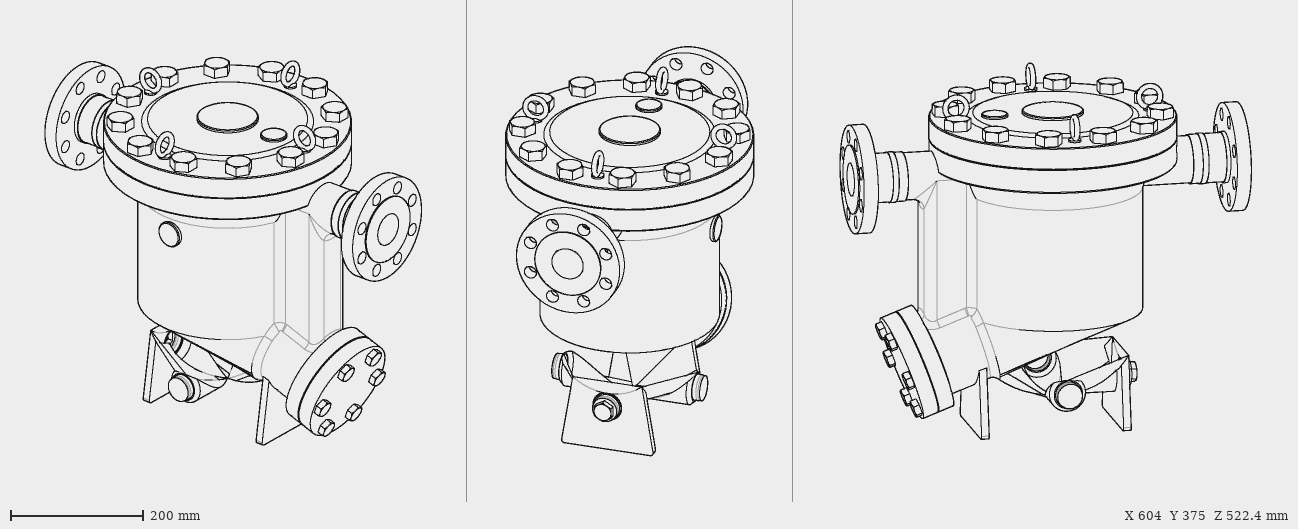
import cadquery as cq
import math

FOOT_Z = -400.0
DOME_CENTRE_Z = -219.5
NECK_BOTTOM_Z = -30.0
FLANGE_BOTTOM_Z = 10.0
JOINT_Z = 47.5
COVER_TOP_Z = 81.42

BODY_R = 136.0
NECK_TOP_R = 147.5
FLANGE_R = 187.5
FLANGE_EDGE = 1.5
FLANGE_BOTTOM_EDGE = 2.5
GASKET_R = 185.0
GASKET_THICKNESS = 1.5
PAD_TOP_R = 121.0
PAD_BOTTOM_R = 130.0
PAD_HEIGHT = 4.5
COVER_BOSS_R = 45.0
COVER_BOSS_HEIGHT = 4.5
SMALL_BOSS_R = 20.0
SMALL_BOSS_HEIGHT = 4.0
SMALL_BOSS_X = 90.0
SMALL_BOSS_Z = -55.0
SMALL_BOSS_REACH = 141.0
BOSS_EDGE = 1.5

COVER_BOLT_COUNT = 12
COVER_BOLT_CIRCLE_R = 162.5
COVER_BOLT_FLATS = 36.0
COVER_BOLT_HEIGHT = 16.0
EYE_COUNT = 4
EYE_CIRCLE_R = 150.0
EYE_OUTER_R = 20.5
EYE_INNER_R = 12.5
EYE_COLLAR_R = 9.5
EYE_COLLAR_HEIGHT = 5.0

PIPE_CENTRE_X = 11.0
PIPE_HALF_SPAN = 302.0
NOZZLE_R = 36.0
NOZZLE_END = 221.0
PIPE_R = 37.5
BORE_R = 25.0
BEAD_R = 38.5
BEAD_CENTRE = 240.0
BEAD_WIDTH = 9.0
PIPE_FLANGE_R = 82.5
PIPE_FLANGE_THICKNESS = 22.0
RAISED_FACE_R = 52.5
RAISED_FACE_HEIGHT = 2.0
HUB_LENGTH = 6.0
HUB_R = 39.0
PIPE_HOLE_COUNT = 8
PIPE_HOLE_R = 9.5
PIPE_HOLE_CIRCLE_R = 65.0

CHANNEL_END_X = 204.0
CHANNEL_CORNER_R = 16.0
CHANNEL_BOTTOM_Z = -262.0
CHANNEL_ROOT_R = 15.0
CHANNEL_NOZZLE_FILLET = 15.0
CHANNEL_BLEND_TOP_Z = -1.0

BRANCH_TILT = 20.0
BRANCH_AXIS_RISE = 4.25
BRANCH_R = 65.0
BRANCH_ROOT_FILLET = 15.0
BRANCH_FLANGE_R = 82.5
BRANCH_FLANGE_START = 199.0
BRANCH_JOINT = 224.0
BRANCH_END = 249.0
BRANCH_GAP = 1.0
BRANCH_FLANGE_FILLET = 3.0
BRANCH_BOLT_COUNT = 6
BRANCH_BOLT_CIRCLE_R = 65.0
BRANCH_BOLT_FLATS = 24.0
BRANCH_BOLT_HEIGHT = 10.0

LEG_THICKNESS = 12.0
LEG_CENTRES_X = (-99.0, 121.0)
LEG_BOTTOM_WIDTH = 148.0
LEG_TOP_WIDTH = 95.0
LEG_TOP_Z = -240.0
LEG_CORNER_R = 5.0

DRAIN_R = 28.0
DRAIN_Z = -327.5
DRAIN_SHOULDER = 99.5
DRAIN_ANGLES = (90, 180, 270)
DRAIN_TAPER_R = 22.0
DRAIN_TAPER_END = 106.0
PLUG_COLLAR_R = 20.0
PLUG_COLLAR_END = 112.3
PLUG_R = 38.67 / 2
PLUG_BEVEL_END = 115.5
PLUG_END = 118.0
HEX_PLUG_FLATS = 27.0
HEX_PLUG_END = 127.5


def on_axis(origin, direction, side=(0, 1, 0)):
    """Workplane whose normal runs along the given direction."""
    return cq.Workplane(cq.Plane(origin=origin, xDir=side, normal=direction))


def rod(plane, radius, start, end):
    """Round bar along the plane's normal between two distances."""
    return plane.workplane(offset=start).circle(radius).extrude(end - start)


def turned(points):
    """Solid of revolution about Z from (radius, z) points."""
    return cq.Workplane("XZ").polyline(points).close().revolve(360, (0, 0, 0), (0, 1, 0))


def hex_head(flats, height):
    """Hexagonal head on Z = 0, a corner on X, with its top corners turned off at 30 degrees."""
    corner_r = flats / math.sqrt(3)
    drop = (corner_r - flats / 2) * math.tan(math.radians(30))
    prism = cq.Workplane("XY").polygon(6, 2 * corner_r).extrude(height)
    envelope = turned([
        (0, 0),
        (corner_r, 0),
        (corner_r, height - drop),
        (flats / 2, height),
        (0, height),
    ])
    return prism.intersect(envelope)


def make_shell():
    """Vessel wall outline: round bottom, straight side and flared neck."""
    profile = (
        cq.Workplane("XZ")
        .moveTo(0, DOME_CENTRE_Z - BODY_R)
        .radiusArc((BODY_R, DOME_CENTRE_Z), -BODY_R)
        .lineTo(BODY_R, NECK_BOTTOM_Z)
        .lineTo(NECK_TOP_R, FLANGE_BOTTOM_Z)
        .lineTo(0, FLANGE_BOTTOM_Z)
        .close()
    )
    return profile.revolve(360, (0, 0, 0), (0, 1, 0))


def make_flanges():
    """Body flange, recessed gasket and cover plate with its raised pad."""
    half_gap = GASKET_THICKNESS / 2
    return turned([
        (0, FLANGE_BOTTOM_Z),
        (FLANGE_R - FLANGE_BOTTOM_EDGE, FLANGE_BOTTOM_Z),
        (FLANGE_R, FLANGE_BOTTOM_Z + FLANGE_BOTTOM_EDGE),
        (FLANGE_R, JOINT_Z - half_gap),
        (GASKET_R, JOINT_Z - half_gap),
        (GASKET_R, JOINT_Z + half_gap),
        (FLANGE_R, JOINT_Z + half_gap),
        (FLANGE_R, COVER_TOP_Z - FLANGE_EDGE),
        (FLANGE_R - FLANGE_EDGE, COVER_TOP_Z),
        (PAD_BOTTOM_R, COVER_TOP_Z),
        (PAD_TOP_R, COVER_TOP_Z + PAD_HEIGHT),
        (0, COVER_TOP_Z + PAD_HEIGHT),
    ])


def make_bosses():
    """Low round bosses on the cover and on the -Y side of the body."""
    pad_top = cq.Workplane("XY", origin=(0, 0, COVER_TOP_Z + PAD_HEIGHT))
    centre = pad_top.circle(COVER_BOSS_R + BOSS_EDGE).extrude(COVER_BOSS_HEIGHT)
    centre = centre.faces(">Z").chamfer(BOSS_EDGE)
    offset = pad_top.center(SMALL_BOSS_X, 0).circle(SMALL_BOSS_R).extrude(SMALL_BOSS_HEIGHT)
    offset = offset.faces(">Z").chamfer(BOSS_EDGE)
    side_plane = on_axis((0, 0, SMALL_BOSS_Z), (0, -1, 0), (1, 0, 0))
    side = rod(side_plane, SMALL_BOSS_R, 0, SMALL_BOSS_REACH)
    side = side.faces("<Y").chamfer(BOSS_EDGE)
    return [centre, offset, side]


def make_cover_bolts():
    """Ring of hexagon heads, straddling the X and Y axes."""
    step = 360 / COVER_BOLT_COUNT
    half_step = math.radians(step / 2)
    first_x = COVER_BOLT_CIRCLE_R * math.cos(half_step)
    first_y = COVER_BOLT_CIRCLE_R * math.sin(half_step)
    first = hex_head(COVER_BOLT_FLATS, COVER_BOLT_HEIGHT).translate((first_x, first_y, COVER_TOP_Z))
    return [first.rotate((0, 0, 0), (0, 0, 1), i * step) for i in range(COVER_BOLT_COUNT)]


def make_lifting_eyes():
    """Upright rings on short conical collars."""
    wire_r = (EYE_OUTER_R - EYE_INNER_R) / 2
    ring_centre = cq.Vector(0, 0, EYE_OUTER_R)
    ring_axis = cq.Vector(0, 1, 0)
    ring = cq.Workplane(cq.Solid.makeTorus(EYE_OUTER_R - wire_r, wire_r, ring_centre, ring_axis))
    collar = turned([
        (0, 0),
        (EYE_COLLAR_R, 0),
        (EYE_COLLAR_R, EYE_COLLAR_HEIGHT / 2),
        (wire_r, EYE_COLLAR_HEIGHT),
        (0, EYE_COLLAR_HEIGHT),
    ])
    eye = ring.union(collar).translate((EYE_CIRCLE_R, 0, COVER_TOP_Z))
    return [eye.rotate((0, 0, 0), (0, 0, 1), i * 360 / EYE_COUNT) for i in range(EYE_COUNT)]


def seam_edges(joined, first, second):
    """Edges of a union that lie on the surfaces of both of its members."""
    surfaces = [cq.Compound.makeCompound(shape.faces().vals()) for shape in (first, second)]
    tolerance = 0.001

    def on_both(edge):
        points = [cq.Vertex.makeVertex(*edge.positionAt(t).toTuple()) for t in (0.3, 0.7)]
        return all(point.distance(surface) < tolerance for point in points for surface in surfaces)

    return [edge for edge in joined.edges().vals() if on_both(edge)]


def join_with_fillet(first, second, radius):
    """Union of two shapes with its seam rounded."""
    joined = first.union(second)
    return joined.newObject(seam_edges(joined, first, second)).fillet(radius)


def make_pipe_end(side):
    """Pipe stub, weld bead, hub and drilled flange on the side given by -1 or +1."""
    plane = on_axis((PIPE_CENTRE_X, 0, 0), (side, 0, 0))
    back = PIPE_HALF_SPAN - RAISED_FACE_HEIGHT - PIPE_FLANGE_THICKNESS
    disc = rod(plane, PIPE_FLANGE_R, back, back + PIPE_FLANGE_THICKNESS)
    holes = (
        plane.workplane(offset=back)
        .polarArray(PIPE_HOLE_CIRCLE_R, 180 / PIPE_HOLE_COUNT, 360, PIPE_HOLE_COUNT)
        .circle(PIPE_HOLE_R)
        .extrude(PIPE_FLANGE_THICKNESS)
    )
    return (
        rod(plane, PIPE_R, NOZZLE_END, PIPE_HALF_SPAN)
        .union(rod(plane, BEAD_R, BEAD_CENTRE - BEAD_WIDTH / 2, BEAD_CENTRE + BEAD_WIDTH / 2))
        .union(rod(plane, HUB_R, back - HUB_LENGTH, back))
        .union(disc.cut(holes))
        .union(rod(plane, RAISED_FACE_R, back, PIPE_HALF_SPAN))
    )


def make_bore(side):
    """Blind bore through the pipe stub and its flange."""
    plane = on_axis((PIPE_CENTRE_X, 0, 0), (side, 0, 0))
    return rod(plane, BORE_R, NOZZLE_END, PIPE_HALF_SPAN)


def make_channel():
    """Vertical channel with rounded outer corners, blended into the body wall on both sides."""
    half_width = NOZZLE_R
    root_centre_y = half_width + CHANNEL_ROOT_R
    root_x = math.sqrt((BODY_R + CHANNEL_ROOT_R) ** 2 - root_centre_y ** 2)
    touch = BODY_R / (BODY_R + CHANNEL_ROOT_R)
    touch_x = root_x * touch
    touch_y = root_centre_y * touch
    bend_x = CHANNEL_END_X - CHANNEL_CORNER_R
    bend_y = half_width - CHANNEL_CORNER_R
    return (
        cq.Workplane("XY", origin=(0, 0, CHANNEL_BOTTOM_Z))
        .moveTo(0, -touch_y)
        .lineTo(touch_x, -touch_y)
        .radiusArc((root_x, -half_width), CHANNEL_ROOT_R)
        .lineTo(bend_x, -half_width)
        .radiusArc((CHANNEL_END_X, -bend_y), -CHANNEL_CORNER_R)
        .lineTo(CHANNEL_END_X, bend_y)
        .radiusArc((bend_x, half_width), -CHANNEL_CORNER_R)
        .lineTo(root_x, half_width)
        .radiusArc((touch_x, touch_y), CHANNEL_ROOT_R)
        .lineTo(0, touch_y)
        .close()
        .extrude(-CHANNEL_BOTTOM_Z)
    )


def make_channel_blend(channel, nozzle):
    """Rounded inner corner where the outer end of the channel meets the underside of the +X nozzle."""
    depth = 2 * NOZZLE_R
    start_x = CHANNEL_END_X - 2 * CHANNEL_CORNER_R
    zone = (
        cq.Workplane("XY", origin=(start_x, 0, CHANNEL_BLEND_TOP_Z - depth))
        .rect(2 * (NOZZLE_END - start_x), 4 * NOZZLE_R)
        .extrude(depth)
    )
    lower_channel = channel.intersect(zone)
    lower_nozzle = nozzle.intersect(zone)
    joined = lower_channel.union(lower_nozzle)
    seam = [
        edge
        for edge in seam_edges(joined, lower_channel, lower_nozzle)
        if edge.Center().z < CHANNEL_BLEND_TOP_Z - 1 and edge.Center().x > start_x + 1
    ]
    return joined.newObject(seam).fillet(CHANNEL_NOZZLE_FILLET)


def place_on_branch(shape):
    """Move a shape built along +Z onto the inclined branch axis, just above the dome centre."""
    tilted = shape.rotate((0, 0, 0), (0, 1, 0), 90 + BRANCH_TILT)
    return tilted.translate((0, 0, DOME_CENTRE_Z + BRANCH_AXIS_RISE))


def make_branch():
    """Inclined branch pipe, ending at the joint of its flanges."""
    return place_on_branch(cq.Workplane("XY").circle(BRANCH_R).extrude(BRANCH_JOINT))


def make_branch_flanges():
    """Branch flange and cover with a narrow recessed joint, and the cover bolts."""
    gap_r = BRANCH_FLANGE_R - FLANGE_EDGE
    root_r = BRANCH_R + BRANCH_FLANGE_FILLET
    discs = turned([
        (0, BRANCH_FLANGE_START - BRANCH_FLANGE_FILLET),
        (BRANCH_R, BRANCH_FLANGE_START - BRANCH_FLANGE_FILLET),
        (root_r, BRANCH_FLANGE_START),
        (BRANCH_FLANGE_R, BRANCH_FLANGE_START),
        (BRANCH_FLANGE_R, BRANCH_JOINT - BRANCH_GAP / 2),
        (gap_r, BRANCH_JOINT - BRANCH_GAP / 2),
        (gap_r, BRANCH_JOINT + BRANCH_GAP / 2),
        (BRANCH_FLANGE_R, BRANCH_JOINT + BRANCH_GAP / 2),
        (BRANCH_FLANGE_R, BRANCH_END),
        (0, BRANCH_END),
    ])
    head = hex_head(BRANCH_BOLT_FLATS, BRANCH_BOLT_HEIGHT).translate((0, BRANCH_BOLT_CIRCLE_R, BRANCH_END))
    for i in range(BRANCH_BOLT_COUNT):
        discs = discs.union(head.rotate((0, 0, 0), (0, 0, 1), i * 360 / BRANCH_BOLT_COUNT))
    return place_on_branch(discs)


def make_leg(x):
    """Tapered plate leg standing across the X axis."""
    return (
        cq.Workplane("YZ", origin=(x - LEG_THICKNESS / 2, 0, 0))
        .moveTo(-LEG_BOTTOM_WIDTH / 2, FOOT_Z)
        .lineTo(LEG_BOTTOM_WIDTH / 2, FOOT_Z)
        .lineTo(LEG_TOP_WIDTH / 2, LEG_TOP_Z)
        .lineTo(-LEG_TOP_WIDTH / 2, LEG_TOP_Z)
        .close()
        .extrude(LEG_THICKNESS)
        .edges("|X and <Z")
        .fillet(LEG_CORNER_R)
    )


def place_drain(shape, angle):
    """Lay a shape built along +Z into a drain position, turned about Z from the +X direction."""
    lying = shape.rotate((0, 0, 0), (0, 1, 0), 90).translate((0, 0, DRAIN_Z))
    return lying.rotate((0, 0, 0), (0, 0, 1), angle)


def make_drain(angle):
    """Radial drain boss with a tapered end and a round plug in it."""
    boss = turned([
        (0, 0),
        (DRAIN_R, 0),
        (DRAIN_R, DRAIN_SHOULDER),
        (DRAIN_TAPER_R, DRAIN_TAPER_END),
        (PLUG_COLLAR_R, DRAIN_TAPER_END),
        (PLUG_COLLAR_R, PLUG_COLLAR_END),
        (PLUG_R, PLUG_BEVEL_END),
        (PLUG_R, PLUG_END),
        (0, PLUG_END),
    ])
    return place_drain(boss, angle)


def make_hex_plug(angle):
    """Hexagon head on the end of a drain plug."""
    head = hex_head(HEX_PLUG_FLATS, HEX_PLUG_END - PLUG_END).translate((0, 0, PLUG_END))
    return place_drain(head, angle)


def make_body():
    """Shell with its blended channel and branch, the pipe nozzles and the legs."""
    channel = make_channel()
    body = join_with_fillet(make_shell().union(channel), make_branch(), BRANCH_ROOT_FILLET)
    for x in LEG_CENTRES_X:
        body = body.union(make_leg(x))
    nozzle = rod(on_axis((PIPE_CENTRE_X, 0, 0), (1, 0, 0)), NOZZLE_R, -NOZZLE_END, NOZZLE_END)
    return body.union(nozzle).union(make_channel_blend(channel, nozzle))


details = [make_flanges(), make_branch_flanges(), make_hex_plug(180)]
details += [make_drain(angle) for angle in DRAIN_ANGLES]
details += make_bosses() + make_cover_bolts() + make_lifting_eyes()
details += [make_pipe_end(side) for side in (-1, 1)]

result = make_body()
for detail in details:
    result = result.union(detail)
for side in (-1, 1):
    result = result.cut(make_bore(side))